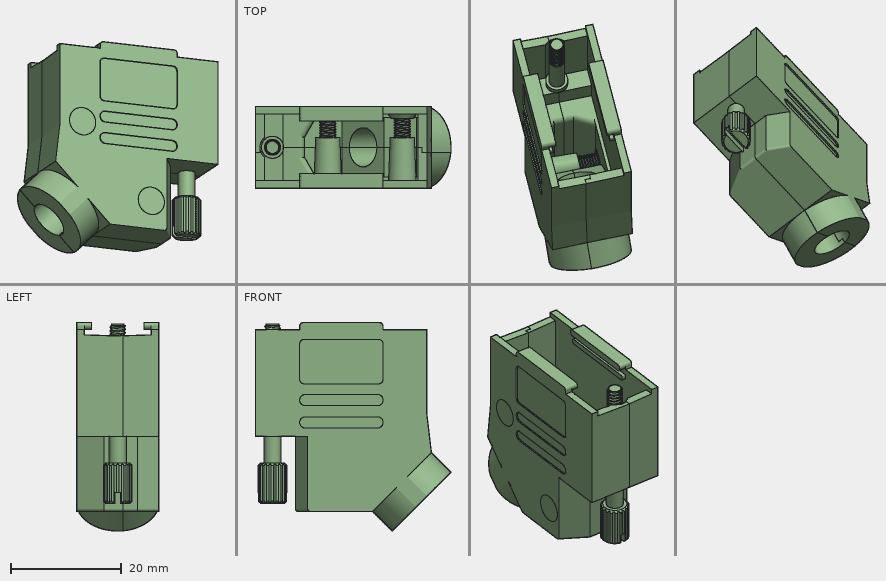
import cadquery as cq
import math


DEPTH = 14.8
HALF_DEPTH = DEPTH / 2
TOTAL_HEIGHT = 37.7
TOP_Z = 36.4
STEP_Z = 17.1
BOTTOM_Z = 3.55
RIGHT_X = 31.0
SLOPE_TOP_Z = 21.25
NOSE_X = 7.25
NOSE_FLAT_FRONT_Y = -3.6
NOSE_FLAT_BACK_Y = 2.53
NOSE_ANGLE = 30.0
NOSE_SLOPE = math.tan(math.radians(NOSE_ANGLE))
NOSE_BOTTOM_FILLET = 0.45

COLLAR_RADIUS = 7.55
CABLE_HOLE_DIAMETER = 7.05
SPAN = 2 * COLLAR_RADIUS * math.sqrt(0.5)
RIGHT_TIP_X = 35.35
EXIT_LOW_X = RIGHT_TIP_X - BOTTOM_Z - SPAN
EXIT_HIGH_X = EXIT_LOW_X + SPAN
EXIT_HIGH_Z = BOTTOM_Z + SPAN
COLLAR_LENGTH = BOTTOM_Z * math.sqrt(2)
EXIT_MID_X = EXIT_LOW_X + SPAN / 2
EXIT_MID_Z = BOTTOM_Z + SPAN / 2

WALL = 1.62
SIDE_WALL = 1.4
LOWER_CAVITY_HALF_DEPTH = 5.4
INNER_NOSE_FLAT_HALF = 1.77
CAVITY_EDGE_FILLET = 0.98
LIP_WIDTH = 0.85
LIP_DEPTH = 0.98
CAVITY_HALF_DEPTH = HALF_DEPTH - SIDE_WALL
FLOOR_Z = STEP_Z + WALL
END_WALL_DROP = 0.95
END_WALL_MID_DROP = 1.13

TAB_X = 8.0
TAB_LENGTH = 15.08
TAB_DEPTH = 2.68
TAB_HEIGHT = TOTAL_HEIGHT - TOP_Z
RIB_DEPTH = 0.75
RIB_TOP_Z = 35.3
RIB_HEIGHT = 0.98
RIB_CORNER = 0.3

RECESS_DEPTH = 0.25
LABEL_BOTTOM_Z = 26.6
LABEL_HEIGHT = 8.03
LABEL_CORNER = 0.83
GRIP_BOTTOMS_Z = (18.62, 22.65)
GRIP_HEIGHT = 2.05

THUMB_X = 3.1
THUMB_TOP_Z = 37.45
THUMB_THREAD_RADIUS = 1.45
THUMB_PITCH = 0.65
THUMB_THREAD_DEPTH = 0.3
THUMB_TIP_HEIGHT = 0.25
SHANK_RADIUS = 1.55
HEAD_RADIUS = 2.6
HEAD_BOTTOM_Z = 5.0
HEAD_TOP_Z = 12.3
HEAD_CHAMFER = 0.4
KNURL_COUNT = 18
KNURL_RADIUS = 0.23
SLOT_WIDTH = 0.9
SLOT_DEPTH = 2.0
FLANGE_RADIUS = 2.0
FLANGE_HEIGHT = 1.13
THUMB_THREAD_LENGTH = 5.65
FLANGE_RELIEF_RADIUS = 2.25
PAD_TOP_Z = 22.62
PAD_END_X = 4.98

LEFT_SCREW_X = 13.1
RIGHT_SCREW_X = 26.55
CABLE_AXIS_SUM = EXIT_MID_X + EXIT_MID_Z
SCREW_PLACES = (
    (LEFT_SCREW_X, CABLE_AXIS_SUM - RIGHT_SCREW_X),
    (RIGHT_SCREW_X, CABLE_AXIS_SUM - LEFT_SCREW_X),
)
SCREW_RADIUS = 1.5
SCREW_HOLE_RADIUS = 1.55
SCREW_PITCH = 0.5
SCREW_THREAD_DEPTH = 0.3
SCREW_END_Y = -3.77
SCREW_THREAD_LENGTH = 3.77
SCREW_HEAD_RADIUS = 2.55
SCREW_HEAD_HEIGHT = 1.05
POST_TOP_Y = 1.75
POST_TOP_RADIUS = 2.2
POST_BASE_RADIUS = 2.5
SEAT_END_Y = 5.25
SEAT_END_RADIUS = 2.05
SEAT_BASE_RADIUS = 2.55

CLAMP_WIDTH = 10.75
CLAMP_FACE_DISTANCE = 9.95
CLAMP_LENGTH = CLAMP_FACE_DISTANCE - WALL
CLAMP_HALF_DEPTH = LOWER_CAVITY_HALF_DEPTH

FLANK_STEPS = 6


def block(x_range, y_range, z_range):
    """Box between two limits along each axis."""
    size = [high - low for low, high in (x_range, y_range, z_range)]
    return cq.Workplane("XY").box(*size, centered=False).translate((x_range[0], y_range[0], z_range[0]))


def prism(points, y_low, y_high):
    """Solid with an outline in X and Z, running from y_low to y_high."""
    return cq.Workplane("XZ", origin=(0, y_high, 0)).polyline(points).close().extrude(y_high - y_low)


def cone_along_y(place, y_start, radius_start, y_end, radius_end):
    """Cone or cylinder about an axis parallel to Y."""
    x, z = place
    return (
        cq.Workplane("XY", origin=(x, 0, z))
        .polyline([(0, y_start), (radius_start, y_start), (radius_end, y_end), (0, y_end)])
        .close()
        .revolve(360, (0, 0, 0), (0, 1, 0))
    )


def exit_workplane(distance):
    """Plane across the cable axis, at a distance outward from the exit face; local Y is global Y."""
    shift = distance * math.sqrt(0.5)
    return cq.Workplane(
        cq.Plane(
            origin=(EXIT_MID_X + shift, 0, EXIT_MID_Z - shift),
            xDir=(-1, 0, -1),
            normal=(1, 0, -1),
        )
    )


def threaded_rod(radius, length, pitch, depth):
    """Rod up the Z axis from Z = 0 with a helical V thread: a spiral section twisted along Z."""
    def flank(side):
        points = []
        for step in range(FLANK_STEPS + 1):
            angle = math.pi * step / FLANK_STEPS
            reach = radius - depth * step / FLANK_STEPS
            points.append(cq.Vector(reach * math.cos(angle), side * reach * math.sin(angle), 0))
        return cq.Edge.makeSpline(points)

    section = cq.Wire.assembleEdges([flank(1), flank(-1)])
    solid = cq.Solid.extrudeLinearWithRotation(
        section, [], cq.Vector(0, 0, 0), cq.Vector(0, 0, length), 360 * length / pitch
    )
    return cq.Workplane(obj=solid)


def nose_limits(x_flat, front_y, back_y):
    """Solid to the right of a flat nose whose sides fall back at the nose angle."""
    reach = DEPTH
    return (
        cq.Workplane("XY")
        .polyline([
            (x_flat, front_y),
            (x_flat + NOSE_SLOPE * (front_y + reach), -reach),
            (RIGHT_TIP_X, -reach),
            (RIGHT_TIP_X, reach),
            (x_flat + NOSE_SLOPE * (reach - back_y), reach),
            (x_flat, back_y),
        ])
        .close()
        .extrude(TOP_Z)
    )


def hood_body():
    """Solid hood without its collar."""
    upper = prism(
        [(0, STEP_Z), (RIGHT_X, STEP_Z), (RIGHT_X, TOP_Z), (0, TOP_Z)], -HALF_DEPTH, HALF_DEPTH
    )
    lower = prism(
        [
            (NOSE_X, BOTTOM_Z),
            (EXIT_LOW_X, BOTTOM_Z),
            (EXIT_HIGH_X, EXIT_HIGH_Z),
            (RIGHT_X, SLOPE_TOP_Z),
            (NOSE_X, SLOPE_TOP_Z),
        ],
        -HALF_DEPTH, HALF_DEPTH,
    )
    lower = lower.intersect(nose_limits(NOSE_X, NOSE_FLAT_FRONT_Y, NOSE_FLAT_BACK_Y))
    corner = cq.selectors.BoxSelector(
        (NOSE_X - 0.38, -HALF_DEPTH, BOTTOM_Z - 0.38), (NOSE_X + WALL, HALF_DEPTH, BOTTOM_Z + 0.38)
    )
    lower = lower.edges(corner).fillet(NOSE_BOTTOM_FILLET)
    return upper.union(lower)


def collar():
    """Round collar on the 45 degree face, cut flat at the front and back of the hood."""
    flats = block((0, RIGHT_TIP_X), (-HALF_DEPTH, HALF_DEPTH), (0, TOP_Z))
    return exit_workplane(0).circle(COLLAR_RADIUS).extrude(COLLAR_LENGTH).intersect(flats)


def lip():
    """Band along the outer edge of the hood and collar, just in front of Y = 0."""
    outline = [
        (0, STEP_Z),
        (NOSE_X, STEP_Z),
        (NOSE_X, BOTTOM_Z),
        (EXIT_LOW_X, BOTTOM_Z),
        (EXIT_LOW_X + BOTTOM_Z, 0),
        (RIGHT_TIP_X, SPAN),
        (EXIT_HIGH_X, EXIT_HIGH_Z),
        (RIGHT_X, SLOPE_TOP_Z),
        (RIGHT_X, TOP_Z),
        (0, TOP_Z),
    ]
    full = prism(outline, -LIP_DEPTH, 0)
    core = cq.Workplane("XZ").polyline(outline).close().offset2D(-LIP_WIDTH).extrude(LIP_DEPTH)
    rounding = block(
        (NOSE_X - 0.38, NOSE_X + NOSE_BOTTOM_FILLET), (-LIP_DEPTH, 0), (0, BOTTOM_Z + NOSE_BOTTOM_FILLET)
    ).cut(
        cq.Workplane("XZ")
        .center(NOSE_X + NOSE_BOTTOM_FILLET, BOTTOM_Z + NOSE_BOTTOM_FILLET)
        .circle(NOSE_BOTTOM_FILLET)
        .extrude(LIP_DEPTH)
    )
    return full.cut(core).cut(rounding)


def cavity():
    """Space inside the hood: a wide upper chamber above a narrower lower one."""
    inner_right_x = RIGHT_X - WALL
    inner_bottom_z = BOTTOM_Z + WALL
    exit_offset = EXIT_LOW_X - BOTTOM_Z - WALL * math.sqrt(2)
    upper = block(
        (WALL, inner_right_x), (-CAVITY_HALF_DEPTH, CAVITY_HALF_DEPTH), (FLOOR_Z, TOP_Z)
    )
    lower = prism(
        [
            (NOSE_X + WALL, inner_bottom_z),
            (exit_offset + inner_bottom_z, inner_bottom_z),
            (inner_right_x, inner_right_x - exit_offset),
            (inner_right_x, FLOOR_Z),
            (NOSE_X + WALL, FLOOR_Z),
        ],
        -LOWER_CAVITY_HALF_DEPTH, LOWER_CAVITY_HALF_DEPTH,
    ).intersect(nose_limits(NOSE_X + WALL, -INNER_NOSE_FLAT_HALF, INNER_NOSE_FLAT_HALF))
    nose_rim = cq.selectors.BoxSelector(
        (NOSE_X, -LOWER_CAVITY_HALF_DEPTH, FLOOR_Z - 0.38),
        (NOSE_X + 2 * WALL, LOWER_CAVITY_HALF_DEPTH, FLOOR_Z + 0.38),
    )
    return upper.union(lower).edges(nose_rim).fillet(CAVITY_EDGE_FILLET)


def end_wall_notch():
    """Cut that lowers the end walls between the side walls, slightly deeper at the middle."""
    return (
        cq.Workplane("YZ")
        .polyline([
            (-CAVITY_HALF_DEPTH, TOP_Z),
            (-CAVITY_HALF_DEPTH, TOP_Z - END_WALL_DROP),
            (0, TOP_Z - END_WALL_MID_DROP),
            (CAVITY_HALF_DEPTH, TOP_Z - END_WALL_DROP),
            (CAVITY_HALF_DEPTH, TOP_Z),
        ])
        .close()
        .extrude(RIGHT_X)
    )


def latches():
    """Round-ended hooked tab over each side wall, with a rib under it on the inner face."""
    tab_end_x = TAB_X + TAB_LENGTH
    hook = (
        cq.Workplane("XZ", origin=(TAB_X + TAB_LENGTH / 2, HALF_DEPTH, TOP_Z + TAB_HEIGHT / 2))
        .slot2D(TAB_LENGTH, TAB_HEIGHT)
        .extrude(TAB_DEPTH)
    )
    root = block(
        (TAB_X, tab_end_x), (CAVITY_HALF_DEPTH, HALF_DEPTH), (TOP_Z, TOP_Z + TAB_HEIGHT / 2)
    )
    rib = block(
        (TAB_X, tab_end_x),
        (CAVITY_HALF_DEPTH - RIB_DEPTH, CAVITY_HALF_DEPTH),
        (RIB_TOP_Z - RIB_HEIGHT, RIB_TOP_Z),
    ).edges("|Y").fillet(RIB_CORNER)
    back = hook.union(root).union(rib)
    return back.union(back.mirror("XZ"))


def face_recesses():
    """Label field and two grip slots, sunk in the front and back faces."""
    middle_x = TAB_X + TAB_LENGTH / 2
    front = (
        cq.Workplane("XZ", origin=(middle_x, -HALF_DEPTH, LABEL_BOTTOM_Z + LABEL_HEIGHT / 2))
        .rect(TAB_LENGTH, LABEL_HEIGHT)
        .extrude(-RECESS_DEPTH)
        .edges("|Y")
        .fillet(LABEL_CORNER)
    )
    for bottom_z in GRIP_BOTTOMS_Z:
        slot = (
            cq.Workplane("XZ", origin=(middle_x, -HALF_DEPTH, bottom_z + GRIP_HEIGHT / 2))
            .slot2D(TAB_LENGTH, GRIP_HEIGHT)
            .extrude(-RECESS_DEPTH)
        )
        front = front.union(slot)
    return front.union(front.mirror("XZ"))


def thumbscrew_pad():
    """Raised pad in the left end of the upper chamber, under the thumbscrew flange."""
    return block((WALL, PAD_END_X), (-CAVITY_HALF_DEPTH, CAVITY_HALF_DEPTH), (FLOOR_Z, PAD_TOP_Z))


def thumbscrew_clearance():
    """Hole through the floor and pad, and the relief above it for the flange."""
    axis = cq.Workplane("XY", origin=(THUMB_X, 0, 0))
    hole = axis.workplane(offset=STEP_Z).circle(SHANK_RADIUS).extrude(PAD_TOP_Z - STEP_Z)
    relief = axis.workplane(offset=PAD_TOP_Z).circle(FLANGE_RELIEF_RADIUS).extrude(TOP_Z - PAD_TOP_Z)
    return hole.union(relief)


def hollow(solid):
    """Remove everything that both half shells have open."""
    cable_hole = (
        exit_workplane(-WALL).circle(CABLE_HOLE_DIAMETER / 2).extrude(WALL + COLLAR_LENGTH)
    )
    opened = solid.cut(cavity()).cut(end_wall_notch()).cut(cable_hole)
    return opened.union(latches()).cut(face_recesses())


def half_space(y_low, y_high):
    """Slab that holds all of the hood between two values of Y."""
    return block((0, RIGHT_TIP_X), (y_low, y_high), (0, TOTAL_HEIGHT))


def finished_hood():
    """Whole hood before it is split, with the lip band standing square on the collar."""
    hood = hood_body().union(collar()).union(lip())
    return hollow(hood).union(thumbscrew_pad()).cut(thumbscrew_clearance())


def back_shell(hood):
    """Half shell on the +Y side, with the lip and the seats of the screw heads."""
    back_region = half_space(0, HALF_DEPTH).union(lip())
    shell = hood.intersect(back_region)
    for place in SCREW_PLACES:
        seat = cone_along_y(place, CAVITY_HALF_DEPTH, SEAT_BASE_RADIUS, SEAT_END_Y, SEAT_END_RADIUS)
        shell = shell.union(seat)
    for place in SCREW_PLACES:
        sink = cone_along_y(
            place, HALF_DEPTH, SCREW_HEAD_RADIUS, HALF_DEPTH - SCREW_HEAD_HEIGHT, SCREW_RADIUS
        )
        bore = cone_along_y(place, HALF_DEPTH, SCREW_HOLE_RADIUS, SEAT_END_Y, SCREW_HOLE_RADIUS)
        shell = shell.cut(sink).cut(bore)
    return shell


def front_shell(hood):
    """Half shell on the -Y side, with the tapered screw posts."""
    shell = hood.intersect(half_space(-HALF_DEPTH, 0)).cut(lip())
    for place in SCREW_PLACES:
        post = cone_along_y(place, -CAVITY_HALF_DEPTH, POST_BASE_RADIUS, POST_TOP_Y, POST_TOP_RADIUS)
        bore = cone_along_y(place, SCREW_END_Y, SCREW_HOLE_RADIUS, POST_TOP_Y, SCREW_HOLE_RADIUS)
        shell = shell.union(post).cut(bore)
    return shell


def clamp_half(y_low, y_high):
    """Half of the cable clamp block, with half of the cable hole."""
    cable_block = (
        exit_workplane(-CLAMP_FACE_DISTANCE)
        .rect(CLAMP_WIDTH, 2 * CLAMP_HALF_DEPTH)
        .circle(CABLE_HOLE_DIAMETER / 2)
        .extrude(CLAMP_LENGTH)
    )
    return cable_block.intersect(half_space(y_low, y_high))


def thumbscrew():
    """Knurled and slotted head, plain shank, flange and thread."""
    head_height = HEAD_TOP_Z - HEAD_BOTTOM_Z
    head = cq.Workplane("XY").circle(HEAD_RADIUS).extrude(head_height)
    head = head.faces("<Z or >Z").chamfer(HEAD_CHAMFER)
    knurls = (
        cq.Workplane("XY")
        .polarArray(HEAD_RADIUS, 0, 360, KNURL_COUNT)
        .circle(KNURL_RADIUS)
        .extrude(head_height)
    )
    slot = block((-HEAD_RADIUS, HEAD_RADIUS), (-SLOT_WIDTH / 2, SLOT_WIDTH / 2), (0, SLOT_DEPTH))
    head = head.cut(knurls).cut(slot).translate((0, 0, HEAD_BOTTOM_Z))
    shank = (
        cq.Workplane("XY", origin=(0, 0, HEAD_TOP_Z)).circle(SHANK_RADIUS).extrude(PAD_TOP_Z - HEAD_TOP_Z)
    )
    flange = cq.Workplane("XY", origin=(0, 0, PAD_TOP_Z)).circle(FLANGE_RADIUS).extrude(FLANGE_HEIGHT)
    flange_top_z = PAD_TOP_Z + FLANGE_HEIGHT
    tip_z = THUMB_TOP_Z - THUMB_TIP_HEIGHT
    thread_z = tip_z - THUMB_THREAD_LENGTH
    neck = (
        cq.Workplane("XY", origin=(0, 0, flange_top_z))
        .circle(THUMB_THREAD_RADIUS)
        .extrude(thread_z - flange_top_z)
    )
    thread = threaded_rod(
        THUMB_THREAD_RADIUS, THUMB_THREAD_LENGTH, THUMB_PITCH, THUMB_THREAD_DEPTH
    ).translate((0, 0, thread_z))
    tip_radius = THUMB_THREAD_RADIUS - THUMB_THREAD_DEPTH
    tip = cq.Workplane("XY", origin=(0, 0, tip_z)).circle(tip_radius).extrude(THUMB_TIP_HEIGHT)
    screw = head.union(shank).union(flange).union(neck).union(thread).union(tip)
    return screw.translate((THUMB_X, 0, 0))


def assembly_screw(place):
    """Countersunk screw along Y, its head flush with the back face."""
    x, z = place
    neck_y = HALF_DEPTH - SCREW_HEAD_HEIGHT
    thread_end_y = SEAT_END_Y - SCREW_THREAD_LENGTH
    head = cone_along_y(place, HALF_DEPTH, SCREW_HEAD_RADIUS, neck_y, SCREW_RADIUS)
    neck = cone_along_y(place, neck_y, SCREW_RADIUS, SEAT_END_Y, SCREW_RADIUS)
    thread = (
        threaded_rod(SCREW_RADIUS, SCREW_THREAD_LENGTH, SCREW_PITCH, SCREW_THREAD_DEPTH)
        .rotate((0, 0, 0), (1, 0, 0), 90)
        .translate((x, SEAT_END_Y, z))
    )
    plain_end = cone_along_y(place, thread_end_y, SCREW_RADIUS, SCREW_END_Y, SCREW_RADIUS)
    return head.union(neck).union(thread).union(plain_end)


hood = finished_hood()
back = back_shell(hood)
front = front_shell(hood)
clamp_halves = [clamp_half(0, CLAMP_HALF_DEPTH), clamp_half(-CLAMP_HALF_DEPTH, 0)]
screws = [assembly_screw(place) for place in SCREW_PLACES]
thumb = thumbscrew()

result = cq.Compound.makeCompound([
    back.val(),
    front.val(),
    thumb.val(),
    *[half.val() for half in clamp_halves],
    *[screw.val() for screw in screws],
])